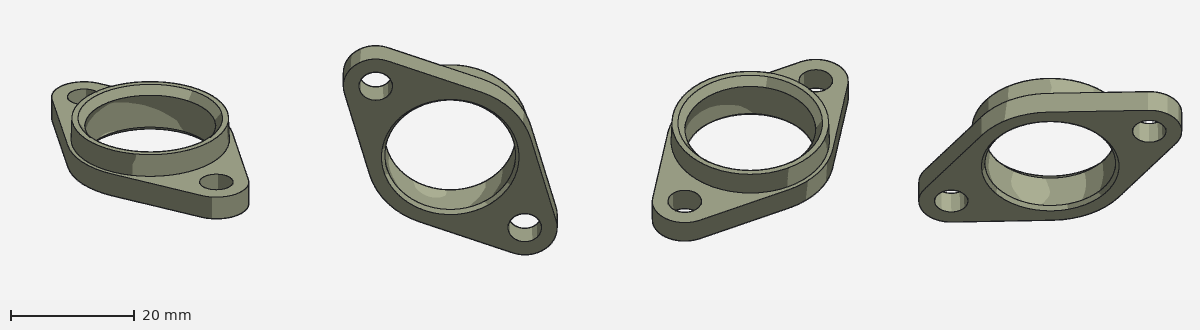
import cadquery as cq
import math

length = 46.95
width = 27.0
flange_thickness = 4.0
centre_radius = width / 2
end_radius = 5.25
hole_spacing = length - 2 * end_radius
hole_diameter = 5.4

total_height = 7.9
collar_height = total_height - flange_thickness
collar_base_radius = 12.8
collar_top_radius = 12.7

neck_radius = 10.55
top_flare_radius = 11.7
top_flare_depth = 1.4
bottom_flare_radius = 11.15
bottom_flare_depth = 0.65


def make_flange():
    end_x = hole_spacing / 2
    tangent_cos = (centre_radius - end_radius) / end_x
    tangent_sin = math.sqrt(1 - tangent_cos**2)
    centre_x = centre_radius * tangent_cos
    centre_y = centre_radius * tangent_sin
    tip_x = end_x + end_radius * tangent_cos
    tip_y = end_radius * tangent_sin
    return (
        cq.Workplane("XY")
        .moveTo(-centre_x, centre_y)
        .threePointArc((0, centre_radius), (centre_x, centre_y))
        .lineTo(tip_x, tip_y)
        .threePointArc((length / 2, 0), (tip_x, -tip_y))
        .lineTo(centre_x, -centre_y)
        .threePointArc((0, -centre_radius), (-centre_x, -centre_y))
        .lineTo(-tip_x, -tip_y)
        .threePointArc((-length / 2, 0), (-tip_x, tip_y))
        .close()
        .extrude(flange_thickness)
    )


def make_collar():
    taper = math.degrees(math.atan((collar_base_radius - collar_top_radius) / collar_height))
    return (
        cq.Workplane("XY", origin=(0, 0, flange_thickness))
        .circle(collar_base_radius)
        .extrude(collar_height, taper=taper)
    )


def make_bolt_holes():
    return (
        cq.Workplane("XY")
        .pushPoints([(-hole_spacing / 2, 0), (hole_spacing / 2, 0)])
        .circle(hole_diameter / 2)
        .extrude(flange_thickness)
    )


def make_bore():
    lower_neck_z = bottom_flare_depth
    upper_neck_z = total_height - top_flare_depth
    middle_z = (lower_neck_z + upper_neck_z) / 2
    seat_radius = math.hypot(neck_radius, (upper_neck_z - lower_neck_z) / 2)
    return (
        cq.Workplane("XZ")
        .moveTo(0, 0)
        .lineTo(bottom_flare_radius, 0)
        .lineTo(neck_radius, lower_neck_z)
        .threePointArc((seat_radius, middle_z), (neck_radius, upper_neck_z))
        .lineTo(top_flare_radius, total_height)
        .lineTo(0, total_height)
        .close()
        .revolve(360, (0, 0, 0), (0, 1, 0))
    )


result = make_flange().union(make_collar()).cut(make_bolt_holes()).cut(make_bore())